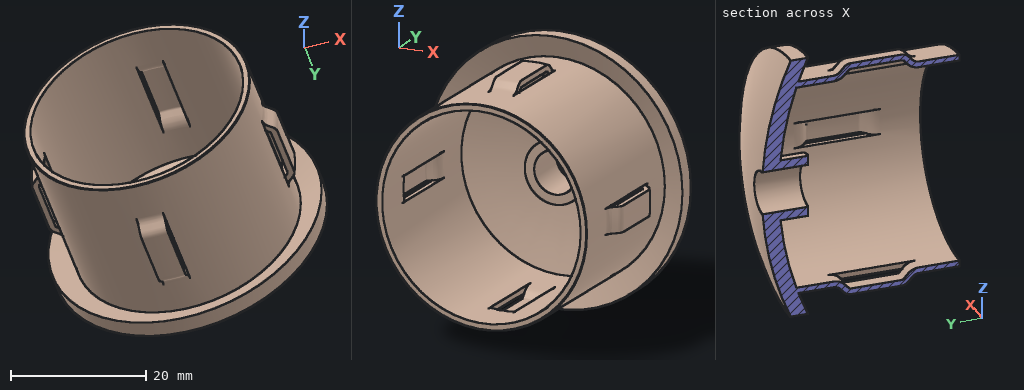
import cadquery as cq
import math


cap_radius = 21.2
rim_height = 2.8
dome_rise = 4.6
dome_radius = (cap_radius**2 + dome_rise**2) / (2 * dome_rise)

tube_radius = 17.5
wall = 1.0
tube_length = 23.95
tube_end_chamfer = 0.1

boss_radius = 5.0
hole_radius = 3.45

strap_count = 4
strap_width = 4.1
strap_center_y = -10.75
strap_crown_radius = 19.12
strap_crown_half_length = 4.03
strap_bend_radius = 1.45
strap_slope = math.radians(47)

strap_rise = strap_crown_radius - tube_radius
ramp_length = (strap_rise - 2 * strap_bend_radius * (1 - math.cos(strap_slope))) / math.sin(strap_slope)
ramp_run = 2 * strap_bend_radius * math.sin(strap_slope) + ramp_length * math.cos(strap_slope)
strap_half_length = strap_crown_half_length + ramp_run


def turn(profile):
    """Revolve an XY profile a full turn about the Y axis."""
    return profile.close().revolve(360, (0, 0, 0), (0, 1, 0))


def dome_height(radius, edge_height):
    """Height of the dome at a radius, for a dome whose edge sits at edge_height."""
    apex = edge_height + dome_rise
    return apex - dome_radius + math.sqrt(dome_radius**2 - radius**2)


def dome_point(radius, edge_height):
    """Profile point on the dome at a radius."""
    return radius, dome_height(radius, edge_height)


def turned_body():
    """Domed cap, tube and bored boss, revolved as one section."""
    bore_radius = tube_radius - wall
    profile = (
        cq.Workplane("XY")
        .moveTo(*dome_point(hole_radius, rim_height))
        .threePointArc(dome_point(cap_radius / 2, rim_height), (cap_radius, rim_height))
        .lineTo(cap_radius, 0)
        .threePointArc(dome_point((cap_radius + tube_radius) / 2, 0), dome_point(tube_radius, 0))
        .lineTo(tube_radius, tube_end_chamfer - tube_length)
        .lineTo(tube_radius - tube_end_chamfer, -tube_length)
        .lineTo(bore_radius, -tube_length)
        .lineTo(*dome_point(bore_radius, 0))
        .threePointArc(dome_point((bore_radius + boss_radius) / 2, 0), dome_point(boss_radius, 0))
        .lineTo(boss_radius, 0)
        .lineTo(hole_radius, 0)
    )
    return turn(profile)


def strap_bends(depth, side):
    """Start, middle and end of the foot and crown bends, at a depth below the outer face."""
    foot_radius = strap_bend_radius + depth
    crown_radius = strap_bend_radius - depth
    foot = []
    crown = []
    for angle in (0, strap_slope / 2, strap_slope):
        foot.append((
            tube_radius + strap_bend_radius - foot_radius * math.cos(angle),
            strap_center_y + side * (strap_half_length - foot_radius * math.sin(angle)),
        ))
        crown.append((
            strap_crown_radius - strap_bend_radius + crown_radius * math.cos(angle),
            strap_center_y + side * (strap_crown_half_length + crown_radius * math.sin(angle)),
        ))
    return foot, crown


def strap_ring():
    """Full ring with the bent cross-section of the straps."""
    outer_foot_low, outer_crown_low = strap_bends(0, -1)
    outer_foot_high, outer_crown_high = strap_bends(0, 1)
    inner_foot_low, inner_crown_low = strap_bends(wall, -1)
    inner_foot_high, inner_crown_high = strap_bends(wall, 1)
    bends = [
        outer_foot_low,
        outer_crown_low[::-1],
        outer_crown_high,
        outer_foot_high[::-1],
        inner_foot_high,
        inner_crown_high[::-1],
        inner_crown_low,
        inner_foot_low[::-1],
    ]
    first_start, first_middle, first_end = bends[0]
    profile = cq.Workplane("XY").moveTo(*first_start).threePointArc(first_middle, first_end)
    for start, middle, end in bends[1:]:
        profile = profile.lineTo(*start).threePointArc(middle, end)
    return turn(profile)


def strap_sector():
    """Block that covers one strap on the +X side."""
    block = cq.Workplane("XY").box(cap_radius, 2 * strap_half_length, strap_width)
    return block.translate((tube_radius, strap_center_y, 0))


strap = strap_ring().intersect(strap_sector())
result = turned_body()
for index in range(strap_count):
    strap_angle = index * 360 / strap_count
    window = strap_sector().rotate((0, 0, 0), (0, 1, 0), strap_angle)
    result = result.cut(window).union(strap.rotate((0, 0, 0), (0, 1, 0), strap_angle))